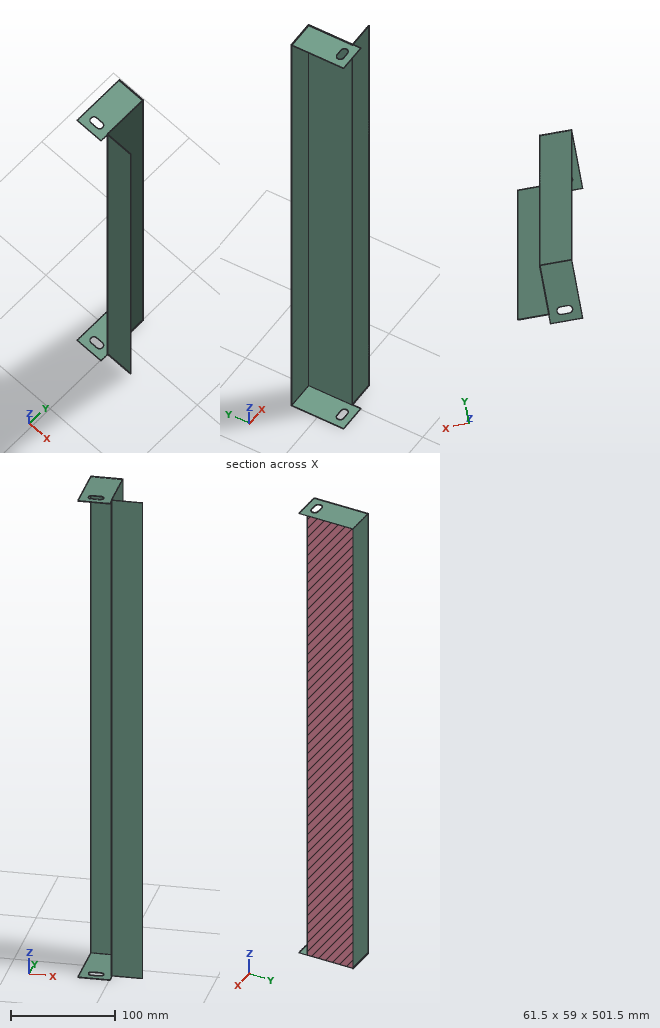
import cadquery as cq

width = 61.5
depth = 59.0
height = 501.5

thickness = 0.75
channel_width = 31.5
web_depth = 50.0

slot_length = 15.0
slot_width = 7.5
slot_center_x = 15.5
slot_center_y = 11.0

front_y = depth - web_depth
web_x = channel_width - thickness


def make_profile():
    """Z-shaped sheet: back flange, web and front flange, bent between the end tabs."""
    return (
        cq.Workplane("XY")
        .moveTo(0, depth)
        .lineTo(channel_width, depth)
        .lineTo(channel_width, front_y + thickness)
        .lineTo(width, front_y + thickness)
        .lineTo(width, front_y)
        .lineTo(web_x, front_y)
        .lineTo(web_x, depth - thickness)
        .lineTo(0, depth - thickness)
        .close()
        .extrude(height - 2 * thickness)
        .translate((0, 0, thickness))
    )


def make_end_tab(bottom_z):
    """Flat end tab projecting in front of the web, with a slot through it."""
    tab = cq.Workplane("XY").box(channel_width, depth, thickness, centered=False)
    slot = (
        cq.Workplane("XY")
        .center(slot_center_x, slot_center_y)
        .slot2D(slot_length, slot_width)
        .extrude(thickness)
    )
    return tab.cut(slot).translate((0, 0, bottom_z))


result = make_profile()
for tab_z in (0, height - thickness):
    result = result.union(make_end_tab(tab_z))